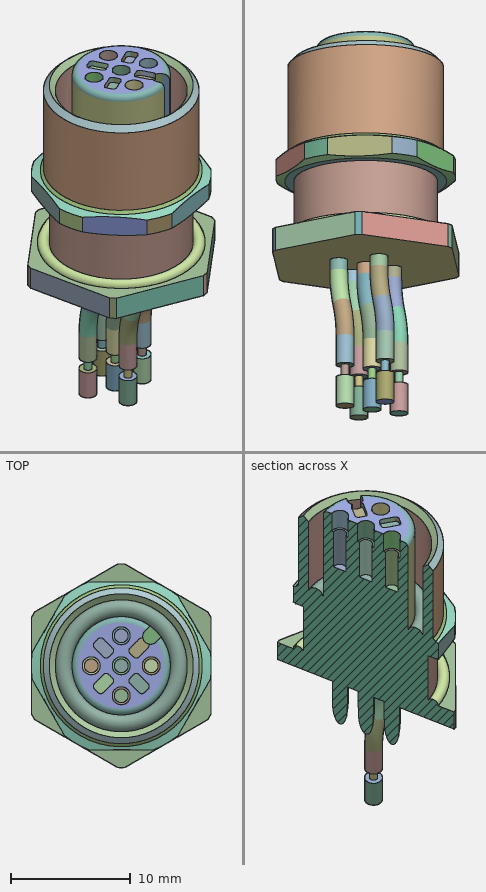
import cadquery as cq
import math

OVERLAP = 0.3

FLANGE_FLATS = 15.0
FLANGE_CORNER_DIA = 17.0
FLANGE_HEIGHT = 2.0

SEAL_SECTION_RADIUS = 0.5
BARREL_DIA = 12.0

NUT_FLATS = 14.0
NUT_CORNER_DIA = 15.0
NUT_BOTTOM = 7.2
NUT_HEIGHT = 2.0
NUT_TOP = NUT_BOTTOM + NUT_HEIGHT
NUT_FACE_DIA = 13.5
NUT_CHAMFER_ANGLE = 20.0

SLEEVE_DIA = 13.0
SLEEVE_BORE_DIA = 11.0
SLEEVE_TOP = 17.65
SLEEVE_CHAMFER = 0.5
FLARE_HEIGHT = 0.25

SOCKET_FLOOR = NUT_TOP

INSERT_DIA = 8.2
INSERT_TOP = 19.15
INSERT_ROUNDING = 0.5

CONTACT_PITCH_RADIUS = 2.5
CONTACT_HOLE_DIA = 1.5
CONTACT_HOLE_DEPTH = 2.0
CONTACT_BORE_DIA = 1.15
CONTACT_BORE_DEPTH = 6.0

POCKET_INNER_RADIUS = 1.25
POCKET_OUTER_RADIUS = 2.95
POCKET_WIDTH = 1.05
POCKET_DEPTH = 0.5
POCKET_CORNER = 0.3

KEYWAY_WIDTH = 1.3
KEYWAY_INNER_RADIUS = 2.8
KEYWAY_DEPTH = 5.0
KEYWAY_ANGLE = 45.0

WIRE_DIA = 1.5
CONDUCTOR_DIA = 0.7
WIRE_SHIFT = 1.2
BEND_TOP = -1.0
BEND_BOTTOM = -7.0
INSULATION_END = -9.45
STUB_TOP = -10.5
WIRE_END = -13.0

CONTACT_POINTS = [
    (0.0, 0.0),
    (CONTACT_PITCH_RADIUS, 0.0),
    (0.0, CONTACT_PITCH_RADIUS),
    (-CONTACT_PITCH_RADIUS, 0.0),
    (0.0, -CONTACT_PITCH_RADIUS),
]


def cylinder(diameter, bottom, top, x=0.0, y=0.0):
    """Upright cylinder between two heights."""
    return cq.Workplane("XY", origin=(x, y, bottom)).circle(diameter / 2).extrude(top - bottom)


def hexagon(across_flats, bottom, height, turn):
    """Hexagonal prism; a turn of 0 puts corners on the X axis."""
    corner_to_corner = across_flats / math.cos(math.pi / 6)
    prism = cq.Workplane("XY", origin=(0, 0, bottom)).polygon(6, corner_to_corner).extrude(height)
    return prism.rotate((0, 0, 0), (0, 0, 1), turn)


def half_round_ring(inner_radius, section_radius, base):
    """Ring of semicircular section standing on the height `base`."""
    outer_radius = inner_radius + 2 * section_radius
    middle_radius = inner_radius + section_radius
    return (
        cq.Workplane("XZ")
        .moveTo(inner_radius, base - OVERLAP)
        .lineTo(outer_radius, base - OVERLAP)
        .lineTo(outer_radius, base)
        .threePointArc((middle_radius, base + section_radius), (inner_radius, base))
        .close()
        .revolve(360, (0, 0, 0), (0, 1, 0))
    )


def make_flange():
    prism = hexagon(FLANGE_FLATS, 0, FLANGE_HEIGHT, 30)
    return prism.intersect(cylinder(FLANGE_CORNER_DIA, 0, FLANGE_HEIGHT))


def make_nut():
    corner_radius = NUT_CORNER_DIA / 2
    face_radius = NUT_FACE_DIA / 2
    drop = (corner_radius - face_radius) * math.tan(math.radians(NUT_CHAMFER_ANGLE))
    envelope = (
        cq.Workplane("XZ")
        .polyline([
            (0, NUT_BOTTOM),
            (face_radius, NUT_BOTTOM),
            (corner_radius, NUT_BOTTOM + drop),
            (corner_radius, NUT_TOP - drop),
            (face_radius, NUT_TOP),
            (0, NUT_TOP),
        ])
        .close()
        .revolve(360, (0, 0, 0), (0, 1, 0))
    )
    return hexagon(NUT_FLATS, NUT_BOTTOM, NUT_HEIGHT, 0).intersect(envelope)


def make_sleeve():
    """Barrel, flare and open sleeve as one turned shape with a flat-bottomed socket."""
    barrel_radius = BARREL_DIA / 2
    sleeve_radius = SLEEVE_DIA / 2
    bore_radius = SLEEVE_BORE_DIA / 2
    return (
        cq.Workplane("XZ")
        .polyline([
            (0, FLANGE_HEIGHT - OVERLAP),
            (barrel_radius, FLANGE_HEIGHT - OVERLAP),
            (barrel_radius, NUT_TOP - OVERLAP),
            (NUT_FACE_DIA / 2, NUT_TOP - OVERLAP),
            (NUT_FACE_DIA / 2, NUT_TOP),
            (sleeve_radius, NUT_TOP + FLARE_HEIGHT),
            (sleeve_radius, SLEEVE_TOP - SLEEVE_CHAMFER),
            (sleeve_radius - SLEEVE_CHAMFER, SLEEVE_TOP),
            (bore_radius, SLEEVE_TOP - SLEEVE_CHAMFER),
            (bore_radius, SOCKET_FLOOR),
            (0, SOCKET_FLOOR),
        ])
        .close()
        .revolve(360, (0, 0, 0), (0, 1, 0))
    )


def contact_cutter(x, y):
    hole = cylinder(CONTACT_HOLE_DIA, INSERT_TOP - CONTACT_HOLE_DEPTH, INSERT_TOP, x, y)
    return hole.union(cylinder(CONTACT_BORE_DIA, INSERT_TOP - CONTACT_BORE_DEPTH, INSERT_TOP, x, y))


def pocket_cutter(angle):
    length = POCKET_OUTER_RADIUS - POCKET_INNER_RADIUS
    middle = (POCKET_OUTER_RADIUS + POCKET_INNER_RADIUS) / 2
    return (
        cq.Workplane("XY", origin=(middle, 0, INSERT_TOP - POCKET_DEPTH))
        .rect(length, POCKET_WIDTH)
        .extrude(POCKET_DEPTH)
        .edges("|Z")
        .fillet(POCKET_CORNER)
        .rotate((0, 0, 0), (0, 0, 1), angle)
    )


def keyway_cutter():
    """Round-ended slot that opens through the side of the insert."""
    end_center = KEYWAY_INNER_RADIUS + KEYWAY_WIDTH / 2
    bottom = INSERT_TOP - KEYWAY_DEPTH
    run_out = INSERT_DIA / 2
    slot = cq.Workplane("XY", origin=(end_center + run_out / 2, 0, bottom)).rect(run_out, KEYWAY_WIDTH)
    slot = slot.extrude(KEYWAY_DEPTH).union(cylinder(KEYWAY_WIDTH, bottom, INSERT_TOP, end_center))
    return slot.rotate((0, 0, 0), (0, 0, 1), KEYWAY_ANGLE)


def make_insert():
    insert = cylinder(INSERT_DIA, SOCKET_FLOOR - OVERLAP, INSERT_TOP)
    insert = insert.faces(">Z").edges().fillet(INSERT_ROUNDING)
    for x, y in CONTACT_POINTS:
        insert = insert.cut(contact_cutter(x, y))
    for quarter in range(4):
        insert = insert.cut(pocket_cutter(KEYWAY_ANGLE + 90 * quarter))
    return insert.cut(keyway_cutter())


def make_wire(x, y):
    """Insulated wire with an S-bend of two equal arcs, a bare gap and an end stub."""
    half_shift = WIRE_SHIFT / 2
    half_height = (BEND_TOP - BEND_BOTTOM) / 2
    path = (
        cq.Workplane("XZ", origin=(0, y, 0))
        .moveTo(x, OVERLAP)
        .lineTo(x, BEND_TOP)
        .tangentArcPoint((x - half_shift, BEND_TOP - half_height), relative=False)
        .tangentArcPoint((x - WIRE_SHIFT, BEND_BOTTOM), relative=False)
        .lineTo(x - WIRE_SHIFT, INSULATION_END)
    )
    wire = cq.Workplane("XY", origin=(x, y, OVERLAP)).circle(WIRE_DIA / 2).sweep(path)
    end_x = x - WIRE_SHIFT
    conductor = cylinder(CONDUCTOR_DIA, STUB_TOP - OVERLAP, INSULATION_END + OVERLAP, end_x, y)
    stub = cylinder(WIRE_DIA, WIRE_END, STUB_TOP, end_x, y)
    return wire.union(conductor).union(stub)


insert_seal_radius = (SLEEVE_BORE_DIA - INSERT_DIA) / 4

result = make_flange()
result = result.union(half_round_ring(BARREL_DIA / 2, SEAL_SECTION_RADIUS, FLANGE_HEIGHT))
result = result.union(make_sleeve())
result = result.union(make_nut())
result = result.union(half_round_ring(INSERT_DIA / 2, insert_seal_radius, SOCKET_FLOOR))
result = result.union(make_insert())
for wire_x, wire_y in CONTACT_POINTS:
    result = result.union(make_wire(wire_x, wire_y))